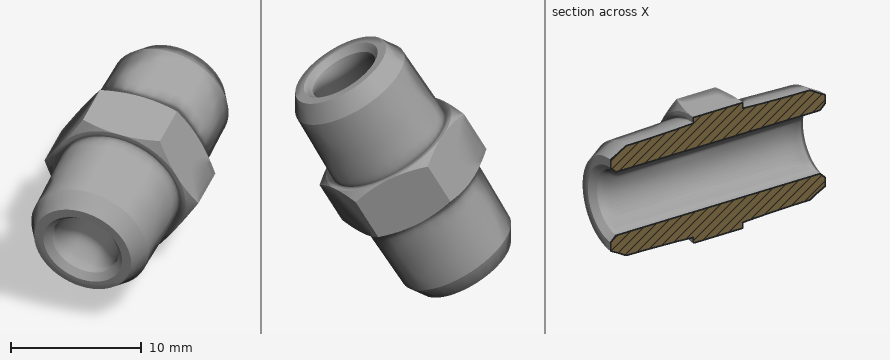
import cadquery as cq
import math

length = 19.5
across_flats = 11.0
hex_width = 4.5
hex_chamfer_angle = 30.0
corner_clearance = 0.2

root_diameter = 10.0
taper_ratio = 1 / 16
tip_diameter = 8.0
tip_chamfer_length = 1.42

bore_diameter = 5.5
countersink_diameter = 6.5
countersink_angle = 45.0

half_length = length / 2
half_hex = hex_width / 2
across_corners = across_flats / math.cos(math.radians(30))


def revolve_profile(points):
    """Revolve a closed (radius, Y) outline about the Y axis."""
    return cq.Workplane("XY").polyline(points).close().revolve(360, (0, 0, 0), (0, 1, 0))


def make_hexagon():
    """Hexagon with corners on X, its corners turned off conically at both faces."""
    hexagon = cq.Workplane("XZ").polygon(6, across_corners).extrude(half_hex, both=True)
    face_radius = across_flats / 2
    outer_radius = across_corners / 2 + corner_clearance
    drop = (outer_radius - face_radius) * math.tan(math.radians(hex_chamfer_angle))
    envelope = revolve_profile([
        (0, -half_hex),
        (face_radius, -half_hex),
        (outer_radius, -half_hex + drop),
        (outer_radius, half_hex - drop),
        (face_radius, half_hex),
        (0, half_hex),
    ])
    return hexagon.intersect(envelope)


def make_tapered_body():
    """Both tapered ends, with conical tips."""
    shoulder = half_length - tip_chamfer_length
    root_radius = root_diameter / 2
    shoulder_radius = root_radius - taper_ratio * (shoulder - half_hex) / 2
    tip_radius = tip_diameter / 2
    return revolve_profile([
        (0, -half_length),
        (tip_radius, -half_length),
        (shoulder_radius, -shoulder),
        (root_radius, -half_hex),
        (root_radius, half_hex),
        (shoulder_radius, shoulder),
        (tip_radius, half_length),
        (0, half_length),
    ])


def make_bore():
    """Through bore, countersunk at both ends."""
    bore_radius = bore_diameter / 2
    mouth_radius = countersink_diameter / 2
    depth = (mouth_radius - bore_radius) / math.tan(math.radians(countersink_angle))
    return revolve_profile([
        (0, -half_length),
        (mouth_radius, -half_length),
        (bore_radius, -half_length + depth),
        (bore_radius, half_length - depth),
        (mouth_radius, half_length),
        (0, half_length),
    ])


result = make_tapered_body().union(make_hexagon()).cut(make_bore())